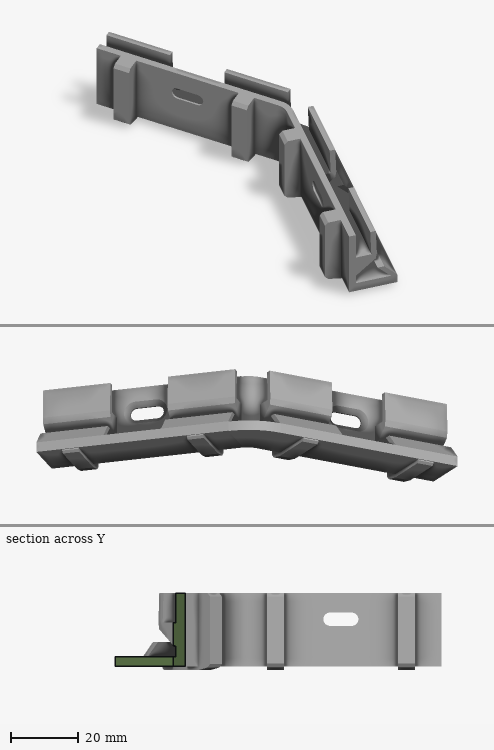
import cadquery as cq
import math

OVERALL_LENGTH = 115.9
BEND_ANGLE = 46.2
INNER_RADIUS = 4.9
WIDTH = 15.1
HEIGHT = 21.9
BASE_THICKNESS = 3.0
WALL_THICKNESS = 2.1
PLATE_LENGTH = 18.0
ARM_DROP = 0.1

LIP_TOP = 7.3
LIP_TOP_OUTER = 11.0
LIP_TOP_INNER = 8.9
LIP_FOOT_INNER = 13.1

BRACKET_ROOT = 5.9
BRACKET_TIP = 11.1
BRACKET_TOP = 13.1
GRIPPER_THICKNESS = 1.7
GRIPPER_TOP_OUTER = 8.3
GRIPPER_LEAN = 0.3

RIB_WIDTH = 5.1
RIB_DEPTH = 5.0
RIB_CHAMFER = 1.0
FOOT_DEPTH = 1.0
FOOT_RAMP = 0.8
FOOT_BACK_GAP = 0.3
FOOT_END_CHAMFER = 0.7

SLOT_LENGTH = 10.4
SLOT_HEIGHT = 3.9
SLOT_CENTRE = 14.0
COUNTERSINK_DEPTH = 1.5
COUNTERSINK_ANGLE = 45.0

bend = math.radians(BEND_ANGLE)
outer_radius = INNER_RADIUS + WIDTH
arm_length = (OVERALL_LENGTH - outer_radius * math.sin(bend)) / (1 + math.cos(bend))
rail_length = (arm_length - PLATE_LENGTH) / 2
gripper_root_outer = GRIPPER_TOP_OUTER + GRIPPER_LEAN

ANGLE_OUTLINE = [
    (0, 0),
    (WIDTH, 0),
    (WIDTH, BASE_THICKNESS),
    (WALL_THICKNESS, BASE_THICKNESS),
    (WALL_THICKNESS, HEIGHT),
    (0, HEIGHT),
]

RAIL_OUTLINE = [
    (0, 0),
    (WIDTH, 0),
    (WIDTH, BASE_THICKNESS),
    (LIP_TOP_OUTER, LIP_TOP),
    (LIP_TOP_INNER, LIP_TOP),
    (LIP_FOOT_INNER, BASE_THICKNESS),
    (WALL_THICKNESS, BASE_THICKNESS),
    (WALL_THICKNESS, BRACKET_ROOT),
    (GRIPPER_TOP_OUTER, BRACKET_TIP),
    (gripper_root_outer, BRACKET_TOP),
    (GRIPPER_TOP_OUTER, HEIGHT),
    (GRIPPER_TOP_OUTER - GRIPPER_THICKNESS, HEIGHT),
    (gripper_root_outer - GRIPPER_THICKNESS, BRACKET_TOP),
    (WALL_THICKNESS, BRACKET_TOP),
    (WALL_THICKNESS, HEIGHT),
    (0, HEIGHT),
]

foot_end = WIDTH - FOOT_BACK_GAP
ramp_start = FOOT_RAMP - FOOT_DEPTH

RIB_OUTLINE = [
    (0, HEIGHT),
    (RIB_CHAMFER - RIB_DEPTH, HEIGHT),
    (-RIB_DEPTH, HEIGHT - RIB_CHAMFER),
    (-RIB_DEPTH, ramp_start + RIB_CHAMFER),
    (RIB_CHAMFER - RIB_DEPTH, ramp_start),
    (0, -FOOT_DEPTH),
    (foot_end - FOOT_END_CHAMFER, -FOOT_DEPTH),
    (foot_end, FOOT_END_CHAMFER - FOOT_DEPTH),
    (foot_end, 0),
    (0, 0),
]


def extrude_along_x(outline, start, length):
    """Extrude a cross-section along +X from the given start."""
    return cq.Workplane("YZ", origin=(start, 0, 0)).polyline(outline).close().extrude(length)


def make_rail(start):
    """Rail with its lip, gripper and a rib at mid-length."""
    rail = extrude_along_x(RAIL_OUTLINE, start, rail_length)
    rib_start = start + (rail_length - RIB_WIDTH) / 2
    return rail.union(extrude_along_x(RIB_OUTLINE, rib_start, RIB_WIDTH))


def make_plate(start):
    """Middle plate with a screw slot countersunk from the base side of the wall."""
    plate = extrude_along_x(ANGLE_OUTLINE, start, PLATE_LENGTH)
    slot_x = start + PLATE_LENGTH / 2
    slot = (
        cq.Workplane("XZ", origin=(slot_x, 0, SLOT_CENTRE))
        .slot2D(SLOT_LENGTH, SLOT_HEIGHT)
        .extrude(-WALL_THICKNESS)
    )
    countersink = (
        cq.Workplane("XZ", origin=(slot_x, WALL_THICKNESS - COUNTERSINK_DEPTH, SLOT_CENTRE))
        .slot2D(SLOT_LENGTH, SLOT_HEIGHT)
        .extrude(-COUNTERSINK_DEPTH, taper=-COUNTERSINK_ANGLE)
    )
    return plate.cut(slot).cut(countersink)


def make_corner():
    """Bend between the arms: the plain angle section swept about the Z axis."""
    section = [(INNER_RADIUS + y, z) for y, z in ANGLE_OUTLINE]
    corner = cq.Workplane("YZ").polyline(section).close().revolve(BEND_ANGLE, (0, 0), (0, 1))
    return corner.translate((0, 0, -ARM_DROP))


def place_on_first_arm(body):
    """Move a body to the arm that runs along +X from the corner."""
    return body.translate((0, INNER_RADIUS, 0))


def place_on_second_arm(body):
    """Move a body to the arm on the other side of the bend."""
    beyond_corner = body.translate((-arm_length, INNER_RADIUS, -ARM_DROP))
    return beyond_corner.rotate((0, 0, 0), (0, 0, 1), BEND_ANGLE)


corner = make_corner().solids().val()
rails = []
plates = []
for place_on_arm in (place_on_first_arm, place_on_second_arm):
    plates.append(place_on_arm(make_plate(rail_length)).solids().val())
    for rail_start in (0, rail_length + PLATE_LENGTH):
        rails.append(place_on_arm(make_rail(rail_start)).solids().val())

result = cq.Compound.makeCompound([corner, *rails, *plates])